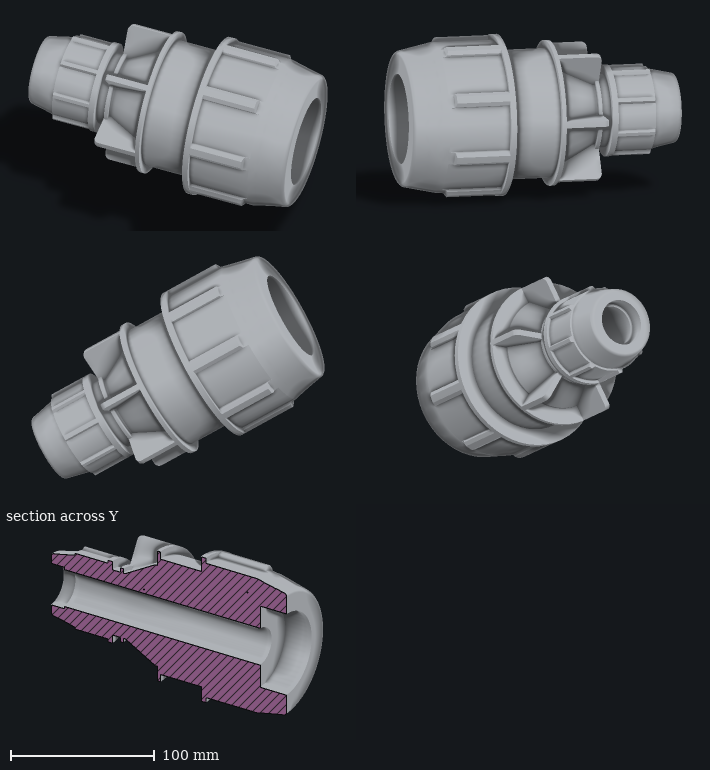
import cadquery as cq


SMALL_MOUTH_RADIUS = 24.0
SMALL_SHOULDER_RADIUS = 28.4
SMALL_PANEL_RADIUS = 29.7
SMALL_FLANGE_RADIUS = 64.0 / 2
SMALL_NOSE_END = 19.7
SMALL_RIB_TOP_START = 20.6
SMALL_FLANGE_START = 47.2
SMALL_FLANGE_END = 51.3
SMALL_MOUTH_ROUND = 2.6

NECK_RADIUS = 51.2 / 2
RING_RADIUS = 29.0
RING_START = 57.8
RING_END = 60.5
RING_EDGE_ROUND = 0.55
CONE_START = 61.9
CONE_END = 86.9
CONE_END_RADIUS = 39.5
BODY_FLANGE_RADIUS = 101.7 / 2
BODY_FLANGE_START = 88.6
BODY_FLANGE_END = 91.6
BARREL_RADIUS = 90.4 / 2

WEB_COUNT = 6
WEB_THICKNESS = 4.0
WEB_START = RING_START
WEB_CORNER_ROUND = 4.0

LENGTH = 197.0
LARGE_FLANGE_RADIUS = 113.0 / 2
LARGE_PANEL_RADIUS = 52.6
LARGE_MOUTH_RADIUS = 47.3
LARGE_FLANGE_START = 125.3
LARGE_FLANGE_END = 129.5
LARGE_PANEL_END = 172.2
LARGE_RIB_TOP_END = 167.2
LARGE_RIB_FOOT_END = 168.8
LARGE_MOUTH_ROUND = 3.0

RIB_COUNT = 8
SMALL_RIB_TOP_WIDTH = 2.5
SMALL_RIB_FOOT_WIDTH = 4.5
LARGE_RIB_TOP_WIDTH = 5.0
LARGE_RIB_FOOT_WIDTH = 9.8
LARGE_RIB_FOOT_RADIUS = 54.4

SMALL_BORE_RADIUS = 32.0 / 2
SMALL_BORE_DEPTH = 11.0
PASSAGE_RADIUS = 14.2
LARGE_BORE_RADIUS = 63.0 / 2
LARGE_BORE_DEPTH = 22.0


def revolve_x(points):
    """Solid of revolution about the X axis from (x, radius) points."""
    return cq.Workplane("XY").polyline(points).close().revolve(360, (0, 0, 0), (1, 0, 0))


def cylinder_x(start, end, radius):
    return cq.Workplane("YZ", origin=(start, 0, 0)).circle(radius).extrude(end - start)


def around_x(shape, count, first_angle):
    """Union of equally spaced copies of a shape around the X axis."""
    copies = shape.rotate((0, 0, 0), (1, 0, 0), first_angle)
    for index in range(1, count):
        angle = first_angle + index * 360 / count
        copies = copies.union(shape.rotate((0, 0, 0), (1, 0, 0), angle))
    return copies


def rib_prism(start, end, foot_radius, top_radius, foot_width, top_width):
    """Prism along X on the +Y side whose flanks lean in from foot to top."""
    root = foot_radius / 2
    foot = foot_width / 2
    top = top_width / 2
    section = [(root, -foot), (foot_radius, -foot), (top_radius, -top),
               (top_radius, top), (foot_radius, foot), (root, foot)]
    return cq.Workplane("YZ", origin=(start, 0, 0)).polyline(section).close().extrude(end - start)


def panel_recesses(start, end, panel_radius, outer_radius, rib):
    """Sleeve around the panels of a nut, slotted where the ribs stand."""
    return (cylinder_x(start, end, 2 * outer_radius)
            .cut(cylinder_x(start, end, panel_radius))
            .cut(around_x(rib, RIB_COUNT, 180 / RIB_COUNT)))


def small_nut():
    nut = revolve_x([
        (0, 0), (0, SMALL_MOUTH_RADIUS),
        (SMALL_NOSE_END, SMALL_SHOULDER_RADIUS),
        (SMALL_RIB_TOP_START, SMALL_FLANGE_RADIUS),
        (SMALL_FLANGE_END, SMALL_FLANGE_RADIUS),
        (SMALL_FLANGE_END, 0)])
    nut = nut.faces("<X").edges().fillet(SMALL_MOUTH_ROUND)
    rib = rib_prism(SMALL_NOSE_END, SMALL_FLANGE_START, SMALL_PANEL_RADIUS,
                    SMALL_FLANGE_RADIUS, SMALL_RIB_FOOT_WIDTH, SMALL_RIB_TOP_WIDTH)
    return nut.cut(panel_recesses(SMALL_NOSE_END, SMALL_FLANGE_START,
                                  SMALL_PANEL_RADIUS, SMALL_FLANGE_RADIUS, rib))


def neck_ring():
    ring = cylinder_x(RING_START, RING_END, RING_RADIUS)
    return ring.edges().fillet(RING_EDGE_ROUND)


def body():
    core = revolve_x([
        (SMALL_FLANGE_START, 0), (SMALL_FLANGE_START, NECK_RADIUS),
        (CONE_START, NECK_RADIUS), (CONE_END, CONE_END_RADIUS),
        (BODY_FLANGE_START, CONE_END_RADIUS), (BODY_FLANGE_START, BARREL_RADIUS),
        (LARGE_FLANGE_END, BARREL_RADIUS), (LARGE_FLANGE_END, 0)])
    return core.union(neck_ring()).union(webbed_flange())


def webbed_flange():
    """Body flange and its webs, left standing when the gaps between the webs are cut away."""
    blank = cylinder_x(WEB_START, BODY_FLANGE_END, BODY_FLANGE_RADIUS)
    blank = blank.faces("<X").edges().fillet(WEB_CORNER_ROUND)
    web_length = BODY_FLANGE_START - WEB_START
    web = (cq.Workplane("XY", origin=(WEB_START, 0, 0))
           .box(web_length, 2 * BODY_FLANGE_RADIUS, WEB_THICKNESS, centered=(False, False, True)))
    gaps = (cylinder_x(WEB_START, BODY_FLANGE_START, 1.5 * BODY_FLANGE_RADIUS)
            .cut(around_x(web, WEB_COUNT, 0)))
    return blank.cut(gaps)


def large_nut():
    nose_slope = (LARGE_PANEL_RADIUS - LARGE_MOUTH_RADIUS) / (LENGTH - LARGE_PANEL_END)
    land_radius = LARGE_PANEL_RADIUS + nose_slope * (LARGE_PANEL_END - LARGE_RIB_FOOT_END)
    nut = revolve_x([
        (LARGE_FLANGE_START, 0), (LARGE_FLANGE_START, LARGE_FLANGE_RADIUS),
        (LARGE_RIB_TOP_END, LARGE_FLANGE_RADIUS), (LARGE_RIB_FOOT_END, land_radius),
        (LENGTH, LARGE_MOUTH_RADIUS), (LENGTH, 0)])
    nut = nut.faces(">X").edges().fillet(LARGE_MOUTH_ROUND)
    rib = rib_prism(LARGE_FLANGE_END, LARGE_PANEL_END, LARGE_RIB_FOOT_RADIUS,
                    LARGE_FLANGE_RADIUS, LARGE_RIB_FOOT_WIDTH, LARGE_RIB_TOP_WIDTH)
    return nut.cut(panel_recesses(LARGE_FLANGE_END, LARGE_PANEL_END,
                                  LARGE_PANEL_RADIUS, LARGE_FLANGE_RADIUS, rib))


def bores():
    return (cylinder_x(0, LENGTH, PASSAGE_RADIUS)
            .union(cylinder_x(0, SMALL_BORE_DEPTH, SMALL_BORE_RADIUS))
            .union(cylinder_x(LENGTH - LARGE_BORE_DEPTH, LENGTH, LARGE_BORE_RADIUS)))


result = small_nut().union(body()).union(large_nut()).cut(bores())